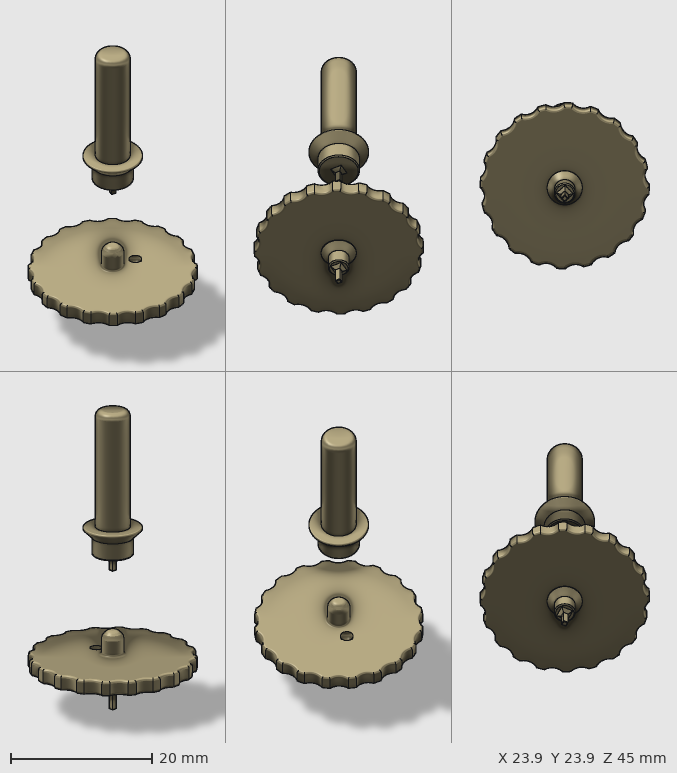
import cadquery as cq
import math

PIN_SIDE = 0.7
PIN_FLARE = 0.5
PIN_TIP_CHAMFER = 0.1
RIM_CHAMFER = 0.2

LOWER_PIN_LENGTH = 2.8
STEM_DIAMETER = 2.95
STEM_LENGTH = 2.15
COLLAR_DIAMETER = 5.0
COLLAR_RIM = 0.1
DISC_DIAMETER = 24.0
DISC_THICKNESS = 2.2
DISC_FILLET = 0.4
SCALLOP_COUNT = 20
SCALLOP_RADIUS = 2.0
SCALLOP_DEPTH = 0.55
PIVOT_DIAMETER = 3.2
PIVOT_HEIGHT = 3.65
PIVOT_CHAMFER = 0.85
PIVOT_ROUNDING = 1.0
PIVOT_BASE_FILLET = 0.4
DIMPLE_RADIUS = 0.9
DIMPLE_OFFSET = 3.6

STEM_BOTTOM = LOWER_PIN_LENGTH
STEM_TOP = STEM_BOTTOM + STEM_LENGTH
COLLAR_CONE_TOP = STEM_TOP + (COLLAR_DIAMETER - STEM_DIAMETER) / 2
DISC_BOTTOM = COLLAR_CONE_TOP + COLLAR_RIM
DISC_TOP = DISC_BOTTOM + DISC_THICKNESS

HANDLE_TOP = 45.0
POST_DIAMETER = 5.0
POST_LENGTH = 17.55
POST_FILLET = 1.0
FLANGE_DIAMETER = 8.5
FLANGE_FILLET = 0.22
HUB_DIAMETER = 5.9
HUB_LENGTH = 2.6
UPPER_PIN_LENGTH = 2.4

FLANGE_TOP = HANDLE_TOP - POST_LENGTH
RIM_ANGLE = math.radians(45)
SHARP_FLANGE_DIAMETER = FLANGE_DIAMETER + 2 * FLANGE_FILLET * (1 / math.tan(RIM_ANGLE / 2) - 1)
HUB_TOP = FLANGE_TOP - (SHARP_FLANGE_DIAMETER - HUB_DIAMETER) / 2
HUB_BOTTOM = HUB_TOP - HUB_LENGTH


def cylinder(diameter, bottom, height):
    return cq.Workplane("XY").workplane(offset=bottom).circle(diameter / 2).extrude(height)


def cone(bottom_diameter, top_diameter, bottom, top):
    return (
        cq.Workplane("XY").workplane(offset=bottom).circle(bottom_diameter / 2)
        .workplane(offset=top - bottom).circle(top_diameter / 2).loft()
    )


def square_pin(root, length):
    """Square pin hanging down from the height root, flared at its root."""
    pin = (
        cq.Workplane("XY").workplane(offset=root - length).rect(PIN_SIDE, PIN_SIDE).extrude(length)
        .faces("<Z").chamfer(PIN_TIP_CHAMFER)
    )
    flare_side = PIN_SIDE + 2 * PIN_FLARE
    flare = (
        cq.Workplane("XY").workplane(offset=root - PIN_FLARE).rect(PIN_SIDE, PIN_SIDE)
        .workplane(offset=PIN_FLARE).rect(flare_side, flare_side).loft()
    )
    return pin.union(flare)


def scalloped_disc():
    disc = cylinder(DISC_DIAMETER, DISC_BOTTOM, DISC_THICKNESS)
    scallop_circle = DISC_DIAMETER / 2 - SCALLOP_DEPTH + SCALLOP_RADIUS
    scallops = (
        cq.Workplane("XY").workplane(offset=DISC_BOTTOM)
        .polarArray(scallop_circle, 0, 360, SCALLOP_COUNT)
        .circle(SCALLOP_RADIUS).extrude(DISC_THICKNESS)
    )
    return disc.cut(scallops).faces("<Z or >Z").edges().fillet(DISC_FILLET)


def domed_pivot():
    pivot = cylinder(PIVOT_DIAMETER, DISC_TOP, PIVOT_HEIGHT).faces(">Z").chamfer(PIVOT_CHAMFER)
    return pivot.edges("%CIRCLE").edges(">>Z or >>Z[-2]").fillet(PIVOT_ROUNDING)


def pivot_base_fillet():
    """Concave ring between the pivot and the disc's top face."""
    radius = PIVOT_DIAMETER / 2
    arc_offset = PIVOT_BASE_FILLET * (1 - math.sqrt(0.5))
    return (
        cq.Workplane("XZ").moveTo(0, DISC_TOP).lineTo(radius + PIVOT_BASE_FILLET, DISC_TOP)
        .threePointArc((radius + arc_offset, DISC_TOP + arc_offset), (radius, DISC_TOP + PIVOT_BASE_FILLET))
        .lineTo(0, DISC_TOP + PIVOT_BASE_FILLET).close().revolve(360, (0, 0), (0, 1))
    )


def make_wheel():
    stem = cylinder(STEM_DIAMETER, STEM_BOTTOM, STEM_LENGTH).faces("<Z").chamfer(RIM_CHAMFER)
    collar_cone = cone(STEM_DIAMETER, COLLAR_DIAMETER, STEM_TOP, COLLAR_CONE_TOP)
    collar_rim = cylinder(COLLAR_DIAMETER, COLLAR_CONE_TOP, COLLAR_RIM)
    dimple = cq.Workplane("XY").sphere(DIMPLE_RADIUS).translate((0, DIMPLE_OFFSET, DISC_TOP))
    return (
        scalloped_disc().union(collar_rim).union(collar_cone).union(stem)
        .union(square_pin(STEM_BOTTOM, LOWER_PIN_LENGTH))
        .union(domed_pivot()).union(pivot_base_fillet()).cut(dimple)
    )


def make_handle():
    post = cylinder(POST_DIAMETER, FLANGE_TOP, POST_LENGTH).faces(">Z").fillet(POST_FILLET)
    flange = cone(HUB_DIAMETER, SHARP_FLANGE_DIAMETER, HUB_TOP, FLANGE_TOP).faces(">Z").fillet(FLANGE_FILLET)
    hub = cylinder(HUB_DIAMETER, HUB_BOTTOM, HUB_LENGTH).faces("<Z").chamfer(RIM_CHAMFER)
    return (
        post.union(flange).union(hub)
        .union(square_pin(HUB_BOTTOM, UPPER_PIN_LENGTH))
    )


wheel = make_wheel()
handle = make_handle()

result = cq.Compound.makeCompound([wheel.val(), handle.val()])